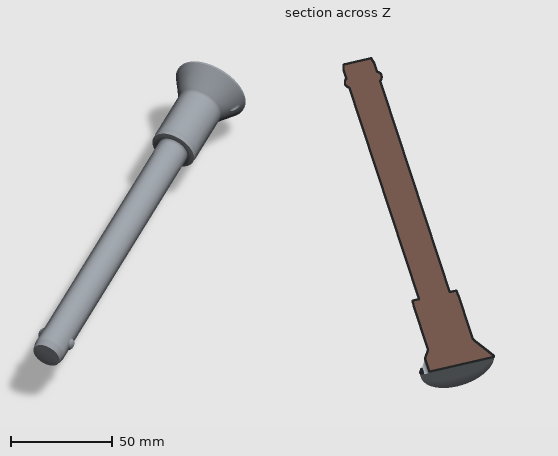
import cadquery as cq

HANDLE_LENGTH = 43.1
SHANK_LENGTH = 144.0

FLANGE_RADIUS = 19.0
FLANGE_RIM = 0.9
FLARE_LENGTH = 11.6
GRIP_RADIUS = 11.65
NECK_RADIUS = 11.9
NECK_LENGTH = 1.2
COLLAR_RADIUS = 11.46
COLLAR_LENGTH = 1.65
COLLAR_TAPER_LENGTH = 1.65

SHANK_RADIUS = 8.0
TIP_RADIUS = 7.2
TIP_LENGTH = 3.5

BALL_RADIUS = 3.5
BALL_REACH = 9.5
BALL_TO_TIP = 11.4

HOLE_DIAMETER = 3.0
HOLE_OFFSET = 16.0


def make_handle():
    """Grip with a conical flange, revolved about the Y axis."""
    rim_y = HANDLE_LENGTH - FLANGE_RIM
    neck_top_y = rim_y - FLARE_LENGTH
    neck_bottom_y = neck_top_y - NECK_LENGTH
    profile = (
        cq.Workplane("XY")
        .moveTo(0, 0)
        .lineTo(COLLAR_RADIUS, 0)
        .lineTo(COLLAR_RADIUS, COLLAR_LENGTH)
        .lineTo(GRIP_RADIUS, COLLAR_LENGTH + COLLAR_TAPER_LENGTH)
        .lineTo(GRIP_RADIUS, neck_bottom_y)
        .tangentArcPoint((NECK_RADIUS, neck_top_y), relative=False)
        .lineTo(FLANGE_RADIUS, rim_y)
        .lineTo(FLANGE_RADIUS, HANDLE_LENGTH)
        .lineTo(0, HANDLE_LENGTH)
        .close()
    )
    return profile.revolve(360, (0, 0, 0), (0, 1, 0))


def make_shank():
    """Round shank with a tapered tip, revolved about the Y axis."""
    profile = (
        cq.Workplane("XY")
        .moveTo(0, 0)
        .lineTo(SHANK_RADIUS, 0)
        .lineTo(SHANK_RADIUS, TIP_LENGTH - SHANK_LENGTH)
        .lineTo(TIP_RADIUS, -SHANK_LENGTH)
        .lineTo(0, -SHANK_LENGTH)
        .close()
    )
    return profile.revolve(360, (0, 0, 0), (0, 1, 0))


def make_ball(side):
    """Locking ball protruding from the shank on the +X (1) or -X (-1) side."""
    center_x = side * (BALL_REACH - BALL_RADIUS)
    return cq.Workplane("XY").sphere(BALL_RADIUS).translate((center_x, BALL_TO_TIP - SHANK_LENGTH, 0))


def make_lanyard_hole():
    """Cutter along Y, as long as the handle, that opens the flange."""
    hole = cq.Workplane("XZ").center(HOLE_OFFSET, 0).circle(HOLE_DIAMETER / 2)
    return hole.extrude(-HANDLE_LENGTH)


result = make_handle().union(make_shank())
for side in (-1, 1):
    result = result.union(make_ball(side))
result = result.cut(make_lanyard_hole())